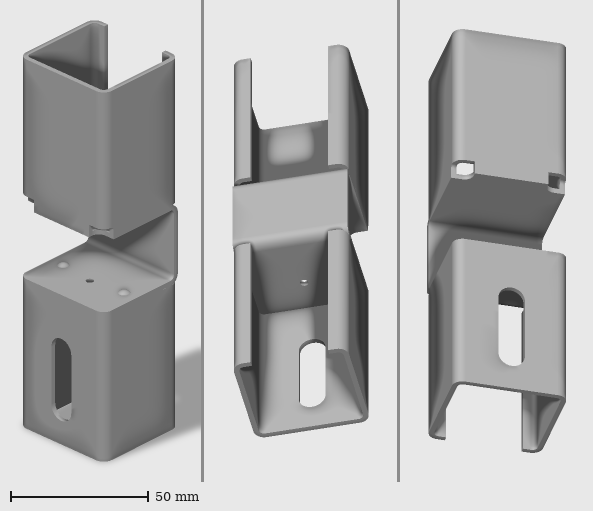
import cadquery as cq

width = 43.0
depth = 40.0
height = 153.0
sheet = 2.0
bend_outer = 2 * sheet
bend_inner = bend_outer - sheet

bracket_height = 33.0
bracket_setback = 0.9
front_y = -depth / 2
web_back_y = depth / 2 - bracket_setback
plate_top_z = bracket_height / 2

relief_width = 7.6
relief_depth = 5.0
relief_radius = 3.5
notch_height = 3.2
notch_radius = 1.2

lower_face_z = sheet - plate_top_z
hole_diameter = 3.0
hole_y = -4.9
stud_spacing = 30.6
stud_y = -2.9
stud_diameter = 4.6
stud_height = 0.9

channel_length = (height - bracket_height) / 2
lip_width = 7.0

slot_width = 10.0
slot_length = 34.0
slot_center_z = -49.7


def channel(base_z):
    """Lipped channel, open at the back, standing on base_z."""
    outer = (
        cq.Workplane("XY", origin=(0, 0, base_z))
        .rect(width, depth)
        .extrude(channel_length)
        .edges("|Z")
        .fillet(bend_outer)
    )
    inner = (
        cq.Workplane("XY", origin=(0, 0, base_z))
        .rect(width - 2 * sheet, depth - 2 * sheet)
        .extrude(channel_length)
        .edges("|Z")
        .fillet(bend_inner)
    )
    back_opening = (
        cq.Workplane("XY", origin=(0, depth / 2, base_z))
        .rect(width - 2 * lip_width, 2 * bend_outer)
        .extrude(channel_length)
    )
    return outer.cut(inner).cut(back_opening)


def corner_relief(side):
    """Cutter for one upper front corner; side is -1 or +1."""
    base_z = plate_top_z - sheet
    relief_height = sheet + notch_height
    plan = (
        cq.Workplane("XY", origin=(side * width / 2, front_y, base_z))
        .rect(2 * relief_width, 2 * relief_depth)
        .extrude(relief_height)
        .edges("|Z")
        .fillet(relief_radius)
    )
    profile = (
        cq.Workplane("XY", origin=(side * width / 2, front_y, base_z))
        .rect(2 * relief_width, 2 * relief_depth)
        .extrude(relief_height)
        .edges("|X")
        .edges(">Y")
        .edges(">Z")
        .fillet(notch_radius)
    )
    return plan.intersect(profile)


def make_upper_channel():
    body = channel(plate_top_z)
    for side in (-1, 1):
        body = body.cut(corner_relief(side))
    return body


def make_lower_channel():
    slot = (
        cq.Workplane("XZ", origin=(0, front_y + sheet, slot_center_z))
        .slot2D(slot_length, slot_width, 90)
        .extrude(sheet)
    )
    return channel(-height / 2).cut(slot)


def stud(x):
    """Stud with a spherical cap, rooted in the lower plate."""
    radius = stud_diameter / 2
    cap_sphere_radius = (radius**2 + stud_height**2) / (2 * stud_height)
    return (
        cq.Workplane("XZ", origin=(x, stud_y, lower_face_z))
        .moveTo(0, -sheet)
        .lineTo(radius, -sheet)
        .lineTo(radius, 0)
        .radiusArc((0, stud_height), -cap_sphere_radius)
        .close()
        .revolve(360, (0, 0), (0, 1))
    )


def make_bracket():
    """C-shaped bracket: two plates joined by a web at the back."""
    bracket_depth = web_back_y - front_y
    middle_y = (web_back_y + front_y) / 2
    body = (
        cq.Workplane("XY", origin=(0, middle_y, 0))
        .box(width, bracket_depth, bracket_height)
        .edges("|X").edges(">Y")
        .fillet(bend_outer)
    )
    gap = (
        cq.Workplane("XY", origin=(0, middle_y - sheet, 0))
        .box(width, bracket_depth, bracket_height - 2 * sheet)
        .edges("|X").edges(">Y")
        .fillet(bend_inner)
    )
    body = body.cut(gap)

    body = body.edges("|Z").edges("<Y").edges("<Z").fillet(bend_outer)

    for side in (-1, 1):
        body = body.cut(corner_relief(side))

    hole = (
        cq.Workplane("XY", origin=(0, hole_y, lower_face_z))
        .circle(hole_diameter / 2)
        .extrude(-sheet)
    )
    body = body.cut(hole)

    for side in (-1, 1):
        body = body.union(stud(side * stud_spacing / 2))
    return body


upper_channel = make_upper_channel().solids()
lower_channel = make_lower_channel().solids()
bracket = make_bracket().solids()

result = cq.Compound.makeCompound([upper_channel.val(), lower_channel.val(), bracket.val()])